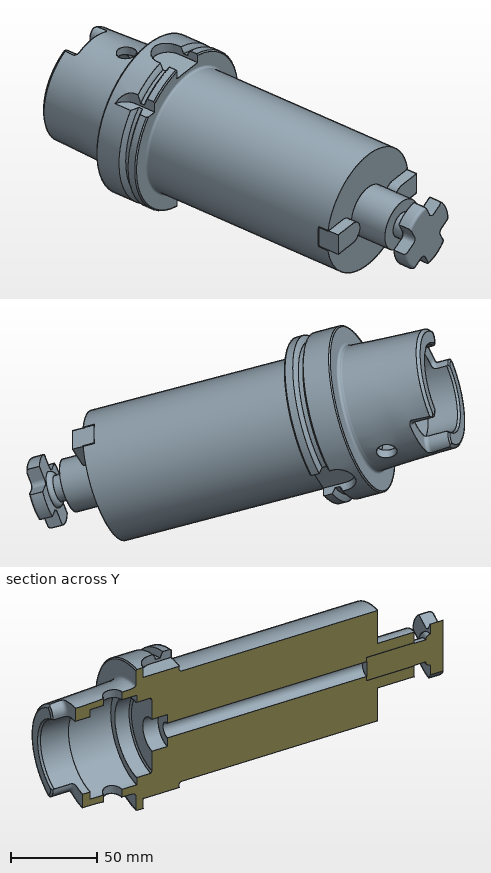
import cadquery as cq
import math

TAPER_LENGTH = 50.0
FLANGE_END = 79.0
BODY_END = 209.7
PILOT_END = 234.0
SCREW_HEAD_START = 244.5
OVERALL_LENGTH = 253

TAPER_MOUTH_RADIUS = 35.7
TAPER_BASE_RADIUS = 37.5
TAPER_CONE_LENGTH = 47.3
MOUTH_CHAMFER = 1.8
NECK_RADIUS = 37.7
BASE_FILLET = 1.8
CROSS_HOLE_DIAMETER = 12.0
CROSS_HOLE_X = 35.0
SLOT_WIDTH = 20.0
TOP_SLOT_DEPTH = 10.0
BOTTOM_SLOT_DEPTH = 15.0
SLOT_FLOOR_FILLET = 2.3
SLOT_FLARE_RADIUS = 6.0
SLOT_FLARE_TOP = 32.5
SLOT_RIM_WIDTH = 1.5
SLOT_RIM_DEPTH = 0.8

BORE_DIAMETER = 53.0
BORE_DEPTH = 60.7
BORE_MOUTH_CHAMFER_WIDTH = 0.8
BORE_MOUTH_CHAMFER_DEPTH = 1.5
BORE_BOTTOM_CHAMFER_WIDTH = 1.5
BORE_BOTTOM_CHAMFER_DEPTH = 0.8
CLAMP_GROOVE_DIAMETER = 63.0
CLAMP_GROOVE_START = 20.0
CLAMP_GROOVE_END = 50.5
TUBE_SEAT_DIAMETER = 22.3
TUBE_SEAT_DEPTH = 10
COOLANT_HOLE_DIAMETER = 10.0

FLANGE_DIAMETER = 100.0
FLANGE_CHAMFER = 0.8
GRIP_GROOVE_RADIUS = 46.0
GRIP_GROOVE_X = 70.0
GRIP_GROOVE_FLOOR_WIDTH = 2.8
GRIP_GROOVE_BREAK_RADIUS = 47.5
GRIP_GROOVE_BREAK_WIDTH = 4.0
GRIP_GROOVE_MOUTH_WIDTH = 6.5
NOTCH_WIDTH = 20.0
NOTCH_START = 55.2
NOTCH_FLOOR = 43.0
CORNER_NOTCH_OFFSET = 31.5

BODY_DIAMETER = 78.5
BODY_FILLET = 1.5
PILOT_DIAMETER = 32.0

KEY_WIDTH = 14.0
KEY_LENGTH = 14.0
KEY_OUTER_Y = 38.0
KEY_INNER_Y = 17.0

SCREW_DIAMETER = 16.0
SCREW_START = 202.5
SCREW_NECK_FILLET = 3.0
SCREW_HEAD_DIAMETER = 42.5
SCREW_ARM_WIDTH = 16.5
SCREW_ARM_TILT = 27
SCREW_CORNER_RADIUS = 3.0
SCREW_RIM_FILLET = 2.0


def revolve_about_x(profile):
    """Revolve a closed XY profile once around the X axis."""
    return profile.close().revolve(360, (0, 0, 0), (1, 0, 0))


def axial_cylinder(diameter, start, end):
    return cq.Workplane("YZ", origin=(start, 0, 0)).circle(diameter / 2).extrude(end - start)


def shank_and_body():
    """Outer turned shape: taper, flange, body and pilot."""
    flange_radius = FLANGE_DIAMETER / 2
    body_radius = BODY_DIAMETER / 2
    pilot_radius = PILOT_DIAMETER / 2
    profile = (
        cq.Workplane("XY")
        .moveTo(0, 0)
        .lineTo(0, TAPER_MOUTH_RADIUS - MOUTH_CHAMFER)
        .lineTo(MOUTH_CHAMFER, TAPER_MOUTH_RADIUS)
        .lineTo(TAPER_CONE_LENGTH, TAPER_BASE_RADIUS)
        .lineTo(TAPER_LENGTH - BASE_FILLET, NECK_RADIUS)
        .radiusArc((TAPER_LENGTH, NECK_RADIUS + BASE_FILLET), -BASE_FILLET)
        .lineTo(TAPER_LENGTH, flange_radius - FLANGE_CHAMFER)
        .lineTo(TAPER_LENGTH + FLANGE_CHAMFER, flange_radius)
        .lineTo(GRIP_GROOVE_X - GRIP_GROOVE_MOUTH_WIDTH / 2, flange_radius)
        .lineTo(GRIP_GROOVE_X - GRIP_GROOVE_BREAK_WIDTH / 2, GRIP_GROOVE_BREAK_RADIUS)
        .lineTo(GRIP_GROOVE_X - GRIP_GROOVE_FLOOR_WIDTH / 2, GRIP_GROOVE_RADIUS)
        .lineTo(GRIP_GROOVE_X + GRIP_GROOVE_FLOOR_WIDTH / 2, GRIP_GROOVE_RADIUS)
        .lineTo(GRIP_GROOVE_X + GRIP_GROOVE_BREAK_WIDTH / 2, GRIP_GROOVE_BREAK_RADIUS)
        .lineTo(GRIP_GROOVE_X + GRIP_GROOVE_MOUTH_WIDTH / 2, flange_radius)
        .lineTo(FLANGE_END - FLANGE_CHAMFER, flange_radius)
        .lineTo(FLANGE_END, flange_radius - FLANGE_CHAMFER)
        .lineTo(FLANGE_END, body_radius + BODY_FILLET)
        .radiusArc((FLANGE_END + BODY_FILLET, body_radius), -BODY_FILLET)
        .lineTo(BODY_END, body_radius)
        .lineTo(BODY_END, pilot_radius)
        .lineTo(PILOT_END, pilot_radius)
        .lineTo(PILOT_END, 0)
    )
    return revolve_about_x(profile)


def shank_bore():
    """Hollow inside of the taper with its internal clamping groove."""
    bore_radius = BORE_DIAMETER / 2
    groove_radius = CLAMP_GROOVE_DIAMETER / 2
    profile = (
        cq.Workplane("XY")
        .moveTo(0, 0)
        .lineTo(0, bore_radius + BORE_MOUTH_CHAMFER_WIDTH)
        .lineTo(BORE_MOUTH_CHAMFER_DEPTH, bore_radius)
        .lineTo(CLAMP_GROOVE_START, bore_radius)
        .lineTo(CLAMP_GROOVE_START, groove_radius)
        .lineTo(CLAMP_GROOVE_END, groove_radius)
        .lineTo(CLAMP_GROOVE_END, bore_radius)
        .lineTo(BORE_DEPTH - BORE_BOTTOM_CHAMFER_DEPTH, bore_radius)
        .lineTo(BORE_DEPTH, bore_radius - BORE_BOTTOM_CHAMFER_WIDTH)
        .lineTo(BORE_DEPTH, 0)
    )
    return revolve_about_x(profile)


def coolant_passage():
    """Seat for a coolant tube and the hole from it to the screw hole."""
    seat = axial_cylinder(TUBE_SEAT_DIAMETER, BORE_DEPTH, BORE_DEPTH + TUBE_SEAT_DEPTH)
    hole = axial_cylinder(COOLANT_HOLE_DIAMETER, BORE_DEPTH, SCREW_START)
    return seat.union(hole)


def cross_hole():
    return (
        cq.Workplane("XY", origin=(CROSS_HOLE_X, 0, 0))
        .circle(CROSS_HOLE_DIAMETER / 2)
        .extrude(FLANGE_DIAMETER / 2, both=True)
    )


def slot_section(sketch, widening=0):
    """Cross-section of a mouth slot, whose walls flare out through a quarter arc each."""
    half_width = SLOT_WIDTH / 2 + widening
    radius = SLOT_FLARE_RADIUS - widening
    top = SLOT_FLARE_TOP - widening
    flare_y = half_width + radius
    flare_start_z = top - radius
    arc_reach = radius * math.sqrt(0.5)
    arc_y = flare_y - arc_reach
    arc_z = flare_start_z + arc_reach
    outside = FLANGE_DIAMETER / 2
    return (
        sketch.moveTo(-half_width, 0)
        .lineTo(-half_width, flare_start_z)
        .threePointArc((-arc_y, arc_z), (-flare_y, top))
        .lineTo(-outside, top)
        .lineTo(-outside, outside)
        .lineTo(outside, outside)
        .lineTo(outside, top)
        .lineTo(flare_y, top)
        .threePointArc((arc_y, arc_z), (half_width, flare_start_z))
        .lineTo(half_width, 0)
        .close()
    )


def mouth_slot(depth, side):
    """Drive slot with a bevelled rim, on the +Z (side 1) or -Z (side -1) side of the taper."""
    channel = slot_section(cq.Workplane("YZ")).extrude(depth)
    channel = channel.faces(">X").edges().fillet(SLOT_FLOOR_FILLET)
    rim_base = slot_section(cq.Workplane("YZ"), SLOT_RIM_WIDTH).workplane(offset=SLOT_RIM_DEPTH)
    slot = channel.union(slot_section(rim_base).loft(ruled=True))
    return slot if side > 0 else slot.mirror("XY")


def flange_notch(center_y, floor_z):
    """Round-ended notch milled along Z, open towards the body."""
    radius = NOTCH_WIDTH / 2
    return (
        cq.Workplane("XY", origin=(0, 0, floor_z))
        .moveTo(FLANGE_END, center_y - radius)
        .lineTo(NOTCH_START + radius, center_y - radius)
        .threePointArc((NOTCH_START, center_y), (NOTCH_START + radius, center_y + radius))
        .lineTo(FLANGE_END, center_y + radius)
        .close()
        .extrude(FLANGE_DIAMETER / 2)
    )


def make_key(side):
    """Drive key with a round inner end, on the +Y (side 1) or -Y (side -1) side."""
    radius = KEY_WIDTH / 2
    arc_center_y = KEY_INNER_Y + radius
    key = (
        cq.Workplane("YZ", origin=(BODY_END - KEY_LENGTH / 2, 0, 0))
        .moveTo(KEY_OUTER_Y, -radius)
        .lineTo(arc_center_y, -radius)
        .threePointArc((KEY_INNER_Y, 0), (arc_center_y, radius))
        .lineTo(KEY_OUTER_Y, radius)
        .close()
        .extrude(KEY_LENGTH)
    )
    return key if side > 0 else key.mirror("XZ")


def key_recess(side):
    """Recess for a key, open at the end face and at the outside of the body."""
    outside = (
        cq.Workplane("XY", origin=(BODY_END, KEY_OUTER_Y, 0))
        .box(KEY_LENGTH, BODY_DIAMETER / 2, KEY_WIDTH, centered=(True, False, True))
    )
    if side < 0:
        outside = outside.mirror("XZ")
    return make_key(side).union(outside)


def make_holder():
    holder = shank_and_body().cut(shank_bore()).cut(coolant_passage()).cut(cross_hole())
    holder = holder.cut(mouth_slot(TOP_SLOT_DEPTH, 1)).cut(mouth_slot(BOTTOM_SLOT_DEPTH, -1))
    top_notch = flange_notch(0, NOTCH_FLOOR)
    corner_notch = flange_notch(-CORNER_NOTCH_OFFSET - NOTCH_WIDTH / 2, CORNER_NOTCH_OFFSET)
    holder = holder.cut(top_notch).cut(top_notch.mirror("XY")).cut(corner_notch)
    for side in (1, -1):
        holder = holder.cut(key_recess(side))
    return holder.cut(axial_cylinder(SCREW_DIAMETER, SCREW_START, PILOT_END))


def screw_head():
    """Cross-shaped head: four parallel-sided arms inside a round rim."""
    head_length = OVERALL_LENGTH - SCREW_HEAD_START
    cross = cq.Workplane("YZ").rect(SCREW_HEAD_DIAMETER, SCREW_ARM_WIDTH).extrude(head_length)
    cross = cross.union(cross.rotate((0, 0, 0), (1, 0, 0), 90))
    inner_corners = cq.selectors.BoxSelector(
        (0, -SCREW_ARM_WIDTH, -SCREW_ARM_WIDTH),
        (head_length, SCREW_ARM_WIDTH, SCREW_ARM_WIDTH),
    )
    cross = cross.edges("|X").edges(inner_corners).fillet(SCREW_CORNER_RADIUS)
    rim = axial_cylinder(SCREW_HEAD_DIAMETER, 0, head_length)
    rim = rim.faces(">X").edges().fillet(SCREW_RIM_FILLET)
    head = cross.intersect(rim).rotate((0, 0, 0), (1, 0, 0), SCREW_ARM_TILT)
    return head.translate((SCREW_HEAD_START, 0, 0))


def make_screw():
    radius = SCREW_DIAMETER / 2
    neck_start = SCREW_HEAD_START - SCREW_NECK_FILLET
    shank = revolve_about_x(
        cq.Workplane("XY")
        .moveTo(SCREW_START, 0)
        .lineTo(SCREW_START, radius)
        .lineTo(neck_start, radius)
        .radiusArc((SCREW_HEAD_START, radius + SCREW_NECK_FILLET), SCREW_NECK_FILLET)
        .lineTo(SCREW_HEAD_START, 0)
    )
    return shank.union(screw_head())


holder = make_holder()
keys = [make_key(side) for side in (1, -1)]
screw = make_screw()

result = cq.Compound.makeCompound([holder.val(), *[key.val() for key in keys], screw.val()])